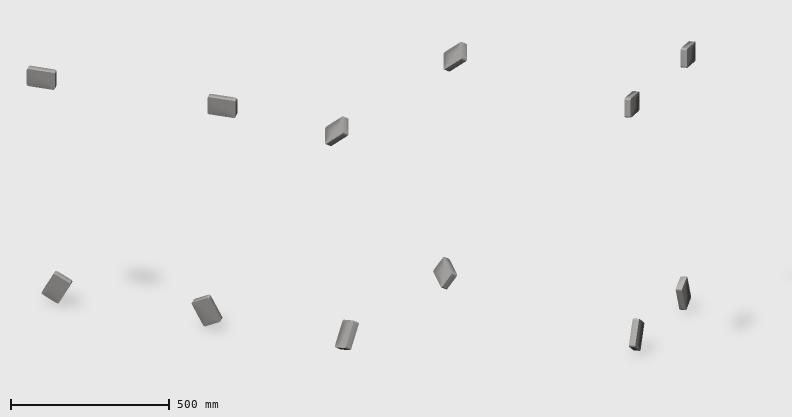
import cadquery as cq
import math

overall_width = 684.05
overall_height = 852.74

pad_length = 92.0
pad_width = 63.5
pad_thickness = 21.0
corner_radius = 6.35

lower_tilt = 62.5

tilt = math.radians(lower_tilt)
straight_length = pad_length - 2 * corner_radius
straight_width = pad_width - 2 * corner_radius
tilted_height = (
    straight_length * math.sin(tilt)
    + straight_width * math.cos(tilt)
    + 2 * corner_radius
)

upper_x = (overall_width - pad_length) / 2
upper_z = (overall_height - pad_width) / 2
lower_x = 245.8
lower_z = (tilted_height - overall_height) / 2


def make_pad(center_x, center_z, angle):
    """A pad standing in the XZ plane, its long side turned up from +X by angle degrees."""
    return (
        cq.Workplane("XY")
        .box(pad_length, pad_thickness, pad_width)
        .edges("|Y")
        .fillet(corner_radius)
        .rotate((0, 0, 0), (0, 1, 0), -angle)
        .translate((center_x, 0, center_z))
    )


upper_pads = [make_pad(side * upper_x, upper_z, 0) for side in (-1, 1)]
lower_pads = [make_pad(side * lower_x, lower_z, -side * lower_tilt) for side in (-1, 1)]

result = cq.Compound.makeCompound([pad.val() for pad in upper_pads + lower_pads])